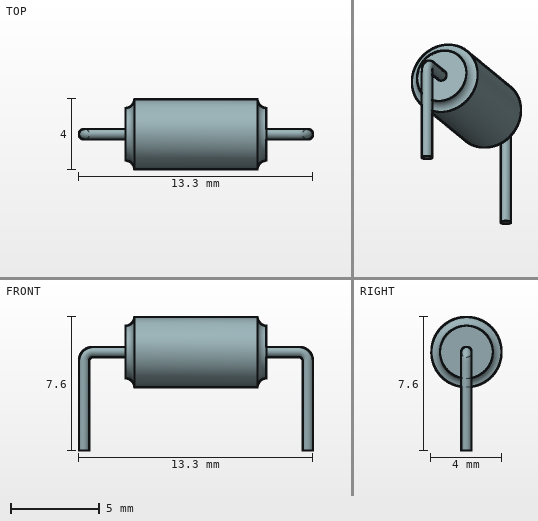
import cadquery as cq
import math

barrel_length = 7.0
barrel_radius = 2.0
cap_fillet_radius = 0.5

lead_radius = 0.3
lead_pitch = 12.7
lead_bend_radius = 0.5
lead_drop = 5.6

cap_thickness = cap_fillet_radius
cap_face_radius = barrel_radius - cap_fillet_radius
barrel_end_x = barrel_length / 2
cap_face_x = barrel_end_x + cap_thickness
lead_x = lead_pitch / 2


def make_barrel():
    """Plain cylinder centred on the origin."""
    start_plane = cq.Workplane("YZ", origin=(-barrel_end_x, 0, 0))
    return start_plane.circle(barrel_radius).extrude(barrel_length)


def make_end_cap(side):
    """Disc flared by a concave fillet up to the barrel diameter; side is -1 or +1."""
    arc_reach = cap_fillet_radius * math.sqrt(0.5)
    arc_middle = (side * (cap_face_x - arc_reach), barrel_radius - arc_reach)
    return (
        cq.Workplane("XZ")
        .moveTo(side * barrel_end_x, 0)
        .lineTo(side * barrel_end_x, barrel_radius)
        .threePointArc(arc_middle, (side * cap_face_x, cap_face_radius))
        .lineTo(side * cap_face_x, 0)
        .close()
        .revolve(360, (0, 0, 0), (1, 0, 0))
    )


def make_lead(side):
    """Round wire leaving the cap face along X and bending down; side is -1 or +1."""
    bend_start_x = lead_x - lead_bend_radius
    bend_reach = lead_bend_radius * math.sqrt(0.5)
    bend_middle = (side * (bend_start_x + bend_reach), bend_reach - lead_bend_radius)
    path = (
        cq.Workplane("XZ")
        .moveTo(side * cap_face_x, 0)
        .lineTo(side * bend_start_x, 0)
        .threePointArc(bend_middle, (side * lead_x, -lead_bend_radius))
        .lineTo(side * lead_x, -lead_drop)
    )
    section = cq.Workplane("YZ", origin=(side * cap_face_x, 0, 0)).circle(lead_radius)
    return section.sweep(path)


sides = (-1, 1)
barrel = make_barrel()
end_caps = [make_end_cap(side).val() for side in sides]
leads = [make_lead(side).val() for side in sides]

result = cq.Compound.makeCompound([barrel.val(), *end_caps, *leads])